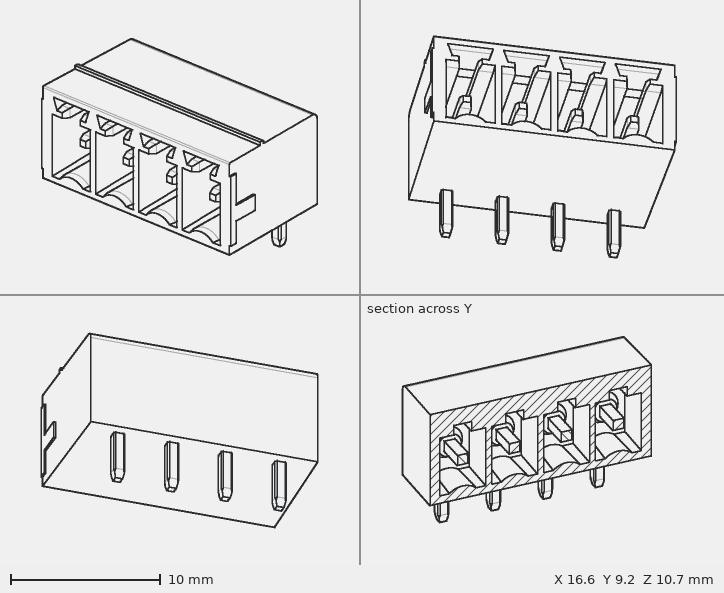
import cadquery as cq


pin_count = 4
pitch = 3.81
pin_positions = [(i - (pin_count - 1) / 2) * pitch for i in range(pin_count)]

housing_depth = 9.2
housing_height = 7.0
front_width = 16.43
back_width = 16.07
back_top_radius = 0.5
front_top_radius = 0.1

rib_front = 3.2
rib_depth = 0.4
rib_height = 0.25
rib_back_radius = 0.15

pad_span = 16.63
pad_bottom = 0.7
pad_top = 6.0
pad_depth = 0.6
pad_arm_bottom = 2.4
pad_arm_top = 3.6
pad_arm_depth = 2.5

cavity_width = 3.34
cavity_floor = 0.43
cavity_floor_rise = 0.28
cavity_ceiling = 5.0
cavity_depth = 7.2
lead_in = 0.16
lead_in_depth = 0.58

neck_width = 1.28
dovetail_depth = 2.5
dovetail_floor = 5.72
dovetail_ceiling = 6.48
dovetail_bottom_width = 2.5
dovetail_top_width = 3.1
dovetail_ceiling_drop = 0.11
dovetail_ceiling_drop_depth = 0.4

ridge_radius = 1.5
ridge_top = 0.98
ridge_mouth_drop = 0.1
ridge_taper_depth = 0.5

collar_base_radius = 1.16
collar_top_radius = 0.85
collar_height = 0.5

pin_size = 0.8
pin_height = 3.0
pin_front = 1.2
leg_center = 8.0
leg_bottom = -3.4
leg_edge_chamfer = 0.12
front_tip_length = 0.5
leg_tip_length = 0.65
tip_inset = 0.15


def box(x_size, y_start, y_end, z_start, z_end):
    """Box centred on X = 0, given by its Y and Z limits."""
    center = (0, (y_start + y_end) / 2, (z_start + z_end) / 2)
    return cq.Workplane("XY").box(x_size, y_end - y_start, z_end - z_start).translate(center)


def tapered_prism(plane, size, length, inset):
    """Square frustum growing from the plane, each side moving in by inset."""
    end_size = size - 2 * inset
    return cq.Workplane(plane).rect(size, size).workplane(offset=length).rect(end_size, end_size).loft()


def make_shell():
    """Rounded block with its rib, trimmed to a plan that narrows towards the back, plus the end pads."""
    block = (
        cq.Workplane("YZ")
        .rect(housing_depth, housing_height, centered=False)
        .extrude(pad_span / 2, both=True)
        .edges("|X and >Y and >Z")
        .fillet(back_top_radius)
        .edges("|X and <Y and >Z")
        .fillet(front_top_radius)
    )
    rib_top = housing_height + rib_height
    rib = box(pad_span, rib_front, rib_front + rib_depth, housing_height - rib_height, rib_top)
    rib = rib.edges("|X and >Y and >Z").fillet(rib_back_radius)
    plan_outline = [
        (-front_width / 2, 0),
        (front_width / 2, 0),
        (back_width / 2, housing_depth),
        (-back_width / 2, housing_depth),
    ]
    plan = cq.Workplane("XY").polyline(plan_outline).close().extrude(rib_top)
    shell = block.union(rib).intersect(plan)
    pad_bar = box(pad_span, 0, pad_depth, pad_bottom, pad_top)
    pad_arm = box(pad_span, 0, pad_arm_depth, pad_arm_bottom, pad_arm_top)
    return shell.union(pad_bar).union(pad_arm)


def make_ridge():
    """Round bar along Y whose upper part stands out of the cavity floor."""
    axis_height = ridge_top - ridge_radius
    ridge_profile = [
        (0, 0),
        (ridge_radius - ridge_mouth_drop, 0),
        (ridge_radius, ridge_taper_depth),
        (ridge_radius, cavity_depth),
        (0, cavity_depth),
    ]
    ridge = cq.Workplane("XY").polyline(ridge_profile).close().revolve(360, (0, 0, 0), (0, 1, 0))
    return ridge.translate((0, 0, axis_height))


def make_collar():
    """Cone standing on the cavity back wall around the pin."""
    return (
        cq.Workplane("XZ", origin=(0, cavity_depth, pin_height))
        .circle(collar_base_radius)
        .workplane(offset=collar_height)
        .circle(collar_top_radius)
        .loft()
    )


def make_pocket():
    """Main opening: the floor rises towards the back, the ceiling flares up at the mouth."""
    pocket_profile = [
        (0, cavity_floor),
        (cavity_depth, cavity_floor + cavity_floor_rise),
        (cavity_depth, cavity_ceiling),
        (lead_in_depth, cavity_ceiling),
        (0, cavity_ceiling + lead_in),
    ]
    pocket = cq.Workplane("YZ").polyline(pocket_profile).close().extrude(cavity_width / 2, both=True)
    return pocket.cut(make_ridge()).cut(make_collar())


def make_neck():
    """Narrow gap joining the pocket to the dovetail slot, flared sideways at the mouth."""
    half_width = neck_width / 2
    neck_outline = [
        (-half_width - lead_in, 0),
        (half_width + lead_in, 0),
        (half_width, lead_in_depth),
        (half_width, cavity_depth),
        (-half_width, cavity_depth),
        (-half_width, lead_in_depth),
    ]
    neck = cq.Workplane("XY", origin=(0, 0, cavity_ceiling)).polyline(neck_outline).close()
    return neck.extrude(dovetail_floor - cavity_ceiling)


def make_dovetail():
    """Slot wider at its top, flared at the mouth on its floor and ceiling."""
    mouth_floor = dovetail_floor - lead_in
    inner_ceiling = dovetail_ceiling - dovetail_ceiling_drop
    front_outline = [
        (-dovetail_bottom_width / 2, mouth_floor),
        (dovetail_bottom_width / 2, mouth_floor),
        (dovetail_top_width / 2, dovetail_ceiling),
        (-dovetail_top_width / 2, dovetail_ceiling),
    ]
    side_outline = [
        (0, mouth_floor),
        (lead_in_depth, dovetail_floor),
        (dovetail_depth, dovetail_floor),
        (dovetail_depth, inner_ceiling),
        (dovetail_ceiling_drop_depth, inner_ceiling),
        (0, dovetail_ceiling),
    ]
    from_front = cq.Workplane("XZ").polyline(front_outline).close().extrude(-dovetail_depth)
    from_side = cq.Workplane("YZ").polyline(side_outline).close().extrude(dovetail_top_width / 2, both=True)
    return from_front.intersect(from_side)


def make_cavity():
    """Everything cut away for one contact, centred on X = 0."""
    return make_pocket().union(make_neck()).union(make_dovetail())


def make_pin():
    """Pin with a horizontal contact and a leg going down, centred on X = 0."""
    half = pin_size / 2
    contact_start = pin_front + front_tip_length
    contact = box(pin_size, contact_start, leg_center + half, pin_height - half, pin_height + half)
    contact_tip = tapered_prism("XZ", pin_size, front_tip_length, tip_inset)
    contact_tip = contact_tip.translate((0, contact_start, pin_height))
    leg = box(pin_size, leg_center - half, leg_center + half, leg_bottom, pin_height - half)
    leg = leg.edges("|Z").chamfer(leg_edge_chamfer)
    leg_taper_start = leg_bottom + leg_tip_length
    leg_envelope = box(pin_size, -half, half, leg_taper_start, pin_height)
    leg_tip = tapered_prism("XY", pin_size, leg_tip_length, tip_inset).mirror("XY")
    leg_envelope = leg_envelope.union(leg_tip.translate((0, 0, leg_taper_start)))
    leg = leg.intersect(leg_envelope.translate((0, leg_center, 0)))
    return contact.union(contact_tip).union(leg)


housing = make_shell()
cavity = make_cavity()
pin = make_pin()
pins = []
for x in pin_positions:
    placed_pin = pin.translate((x, 0, 0))
    housing = housing.cut(cavity.translate((x, 0, 0))).cut(placed_pin)
    pins.append(placed_pin.val())

result = cq.Compound.makeCompound([housing.val(), *pins])